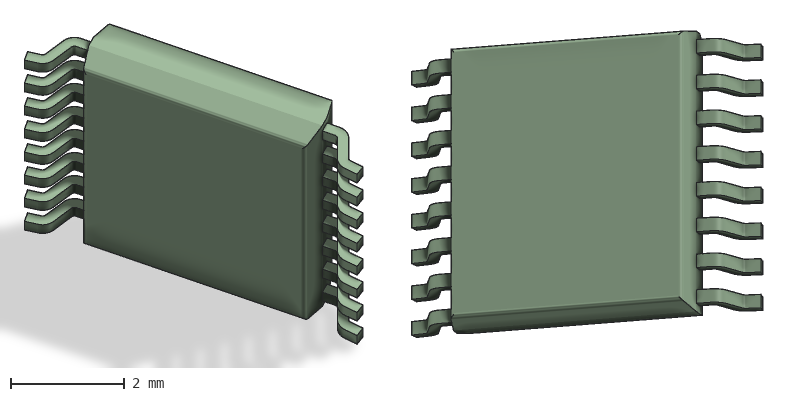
import cadquery as cq
import math

overall_width = 6.46
body_width = 4.495
body_height = 5.1
body_thickness = 1.2
draft_angle = 12.0
edge_radius = 0.1

leads_per_side = 8
lead_row_span = 4.55
lead_pitch = lead_row_span / (leads_per_side - 1)
lead_width = 0.245
lead_thickness = 0.2
inner_bend_radius = 0.085
leg_angle = 67.0
foot_angle = 8.0
foot_length = 0.25
standoff = 0.15

half_lead = lead_thickness / 2
bend_radius = inner_bend_radius + half_lead
outer_bend_radius = inner_bend_radius + lead_thickness
draft_depth = (body_thickness - lead_thickness) / 2


def make_body():
    """Rectangular belt with a drafted, round-edged half on each side of it."""
    belt = (
        cq.Workplane("XZ")
        .rect(body_width, body_height)
        .extrude(half_lead, both=True)
    )
    body = (
        belt.faces("<Y").wires().toPending().workplane()
        .extrude(draft_depth, taper=draft_angle)
        .faces(">Y").wires().toPending().workplane()
        .extrude(draft_depth, taper=draft_angle)
    )
    return body.faces("<Y or >Y").edges().fillet(edge_radius)


def make_lead():
    """One lead on the +X side, centred on Z = 0."""
    leg = math.radians(leg_angle)
    foot = math.radians(foot_angle)

    foot_drop = body_thickness / 2 + standoff - half_lead * math.cos(foot)
    bends_drop = bend_radius * (1 + math.cos(foot) - 2 * math.cos(leg))
    leg_length = (foot_drop - bends_drop - foot_length * math.sin(foot)) / math.sin(leg)
    tip_x = overall_width / 2 - half_lead * math.sin(foot)

    tip = (tip_x, -foot_drop)
    foot_start = (
        tip[0] - foot_length * math.cos(foot),
        tip[1] + foot_length * math.sin(foot),
    )
    leg_end = (
        foot_start[0] - bend_radius * (math.sin(leg) - math.sin(foot)),
        foot_start[1] + bend_radius * (math.cos(foot) - math.cos(leg)),
    )
    leg_start = (
        leg_end[0] - leg_length * math.cos(leg),
        leg_end[1] + leg_length * math.sin(leg),
    )
    shoulder_end = (leg_start[0] - bend_radius * math.sin(leg), 0)

    def side_point(point, slope, offset):
        """Point beside the centreline; a positive offset is on the upper side."""
        return (point[0] + offset * math.sin(slope), point[1] + offset * math.cos(slope))

    def upper(point, slope):
        return side_point(point, slope, half_lead)

    def lower(point, slope):
        return side_point(point, slope, -half_lead)

    profile = (
        cq.Workplane("XY", origin=(0, 0, -lead_width / 2))
        .moveTo(body_width / 2, half_lead)
        .lineTo(*upper(shoulder_end, 0))
        .radiusArc(upper(leg_start, leg), outer_bend_radius)
        .lineTo(*upper(leg_end, leg))
        .radiusArc(upper(foot_start, foot), -inner_bend_radius)
        .lineTo(*upper(tip, foot))
        .lineTo(*lower(tip, foot))
        .lineTo(*lower(foot_start, foot))
        .radiusArc(lower(leg_end, leg), outer_bend_radius)
        .lineTo(*lower(leg_start, leg))
        .radiusArc(lower(shoulder_end, 0), -inner_bend_radius)
        .lineTo(body_width / 2, -half_lead)
        .close()
    )
    return profile.extrude(lead_width)


result = make_body()
right_lead = make_lead()
left_lead = right_lead.mirror("YZ")
for index in range(leads_per_side):
    lead_z = index * lead_pitch - lead_row_span / 2
    for lead in (left_lead, right_lead):
        result = result.union(lead.translate((0, 0, lead_z)))